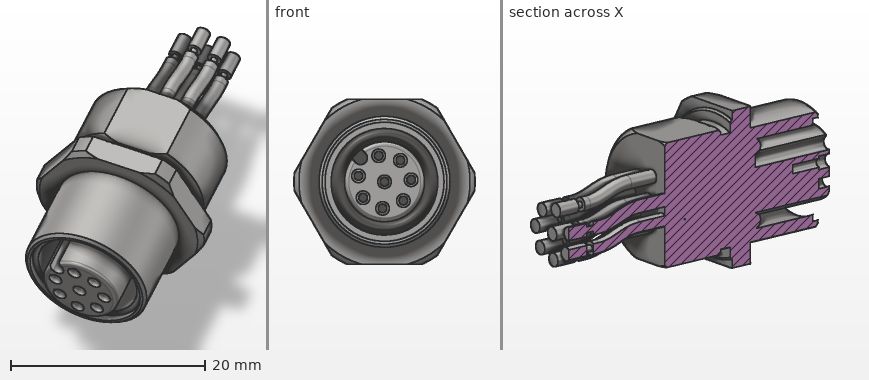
import cadquery as cq
import math


shell_front = 1.5
nut_front = 10.5
nut_rear = 13.0
washer_rear = 13.3
body_front = 14.48
body_rear = 22.0
bend_start = 25.35
bend_end = 30.8
strip_start = 31.53
strip_end = 32.33
wire_end = 34.8

shell_diameter = 13.5
shell_chamfer = 0.3
bore_diameter = 12.3
bore_depth = 0.7
socket_depth = 8.35
socket_diameter = 11.0

nut_width = 17.0
nut_turn = 30.0
nut_corner_diameter = 18.7
nut_face_diameter = 17.65
nut_chamfer_length = 0.5
washer_diameter = 16.0
washer_chamfer = 0.25

body_diameter = 15.2
body_chamfer = 0.63
body_flat_width = shell_diameter

insert_diameter = 8.25
insert_edge_radius = 0.42
key_diameter = 1.4
key_circle_radius = 3.48
key_angle = 135.0

contact_circle_radius = 2.75
contact_count = 7
contact_key_gap = 32.4
contact_spacing = (360 - 2 * contact_key_gap) / (contact_count - 1)
contact_entry_diameter = 1.4
contact_entry_depth = 1.4
contact_bore_diameter = 0.9
contact_bore_depth = 4.87

wire_diameter = 1.5
strand_diameter = 0.7
wire_drop = 1.2
wire_embed = 0.35


def cylinder(diameter, start, end, x=0.0, z=0.0):
    """Cylinder along Y from start to end."""
    base = cq.Plane(origin=(x, start, z), xDir=(1, 0, 0), normal=(0, 1, 0))
    return cq.Workplane(base).circle(diameter / 2).extrude(end - start)


def polar(radius, angle):
    """X and Z of a point on a circle around the connector axis."""
    return (radius * math.cos(math.radians(angle)), radius * math.sin(math.radians(angle)))


def make_shell():
    shell = cylinder(shell_diameter, shell_front, body_rear)
    return shell.faces("<Y").chamfer(shell_chamfer)


def make_nut():
    """Hexagon with flats facing +Z and -Z, its corners turned round and its front edge chamfered."""
    flats = cq.Workplane("XZ", origin=(0, nut_rear, 0)).transformed(rotate=(0, 0, nut_turn))
    flats = flats.polygon(6, nut_width, circumscribed=True)
    blank = cylinder(nut_corner_diameter, nut_front, nut_rear)
    face_chamfer = (nut_corner_diameter - nut_face_diameter) / 2
    blank = blank.faces("<Y").chamfer(nut_chamfer_length, face_chamfer)
    return flats.extrude(nut_rear - nut_front).intersect(blank)


def make_washer():
    return cylinder(washer_diameter, nut_rear, washer_rear).faces(">Y").chamfer(washer_chamfer)


def make_rear_body():
    """Round body with chamfered ends and flats facing +Z and -Z."""
    blank = cylinder(body_diameter, body_front, body_rear).faces("<Y or >Y").chamfer(body_chamfer)
    flats = cq.Workplane("XY").box(body_diameter, 2 * body_rear, body_flat_width)
    return blank.intersect(flats)


def make_socket():
    """Space around the insert: a stepped bore ending in the front half of a seal ring."""
    bore = cylinder(bore_diameter, shell_front, shell_front + bore_depth)
    socket = cylinder(socket_diameter, shell_front, shell_front + socket_depth)
    ring_radius = (socket_diameter + insert_diameter) / 4
    ring_section = (socket_diameter - insert_diameter) / 4
    ring = cq.Solid.makeTorus(
        ring_radius, ring_section, cq.Vector(0, shell_front + socket_depth, 0), cq.Vector(0, 1, 0)
    )
    return bore.union(socket).cut(cq.Workplane(ring))


def make_insert():
    """Rounded plug with a U-shaped groove that opens outwards at the key angle."""
    insert = cylinder(insert_diameter, 0, nut_rear).faces("<Y").edges().fillet(insert_edge_radius)
    key_x, key_z = polar(key_circle_radius, key_angle)
    key_end = shell_front + socket_depth
    groove = cylinder(key_diameter, 0, key_end, key_x, key_z)
    mouth = cq.Workplane("XY").box(insert_diameter, key_end, key_diameter, centered=(False, False, True))
    mouth = mouth.rotate((0, 0, 0), (0, 1, 0), -key_angle).translate((key_x, 0, key_z))
    return insert.cut(groove).cut(mouth)


def contact_positions():
    first_angle = key_angle + contact_key_gap
    ring = [polar(contact_circle_radius, first_angle + i * contact_spacing) for i in range(contact_count)]
    return [(0.0, 0.0)] + ring


def make_contact_hole(x, z):
    """Wide entry followed by a narrower bore."""
    entry = cylinder(contact_entry_diameter, 0, contact_entry_depth, x, z)
    return entry.union(cylinder(contact_bore_diameter, 0, contact_bore_depth, x, z))


def make_wire(x, z):
    """Insulated wire that steps down in an S-bend and shows its strands before the end."""
    lower_z = z - wire_drop
    straight = cylinder(wire_diameter, body_rear - wire_embed, bend_start, x, z)
    path = cq.Workplane("YZ", origin=(x, 0, 0)).spline(
        [(bend_start, z), (bend_end, lower_z)], tangents=[(1, 0), (1, 0)]
    )
    section = cq.Plane(origin=(x, bend_start, z), xDir=(1, 0, 0), normal=(0, 1, 0))
    bend = cq.Workplane(section).circle(wire_diameter / 2).sweep(path)
    wire = straight.union(bend)
    wire = wire.union(cylinder(wire_diameter, bend_end, strip_start, x, lower_z))
    wire = wire.union(cylinder(strand_diameter, strip_start, strip_end, x, lower_z))
    return wire.union(cylinder(wire_diameter, strip_end, wire_end, x, lower_z))


result = make_shell().union(make_nut()).union(make_washer())
result = result.union(make_rear_body()).cut(make_socket()).union(make_insert())
for contact_x, contact_z in contact_positions():
    result = result.cut(make_contact_hole(contact_x, contact_z))
    result = result.union(make_wire(contact_x, contact_z))